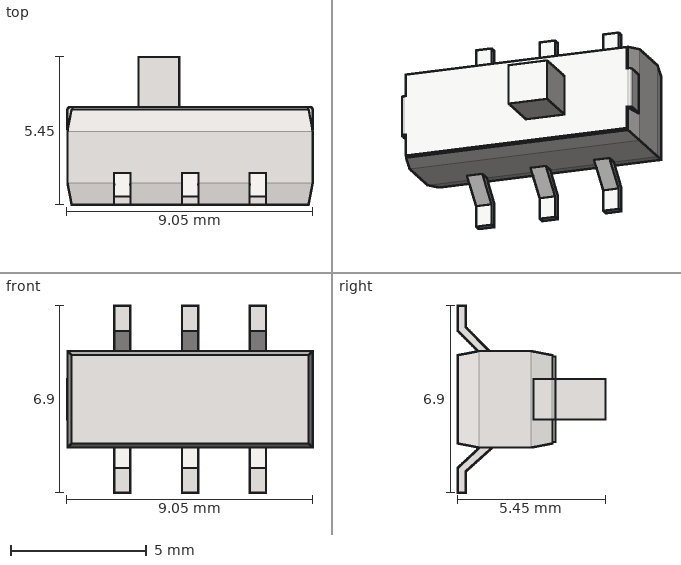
import cadquery as cq

overall_length = 9.05

body_length = 9.04
body_height = 3.57
body_depth = 3.5
taper_depth = 0.8
taper_inset = 0.15

cover_thickness = 0.11
cover_length = 8.67
cover_height = 3.16
cover_rear = body_depth + cover_thickness
tab_height = 1.5
tab_front = 2.79
tab_bend_radius = 0.13

actuator_width = 1.51
actuator_height = 1.5
actuator_center_x = -1.15
actuator_rear = 5.45

leg_width = 0.61
leg_thickness = 0.31
leg_pitch = 2.5
leg_tip_z = 3.45
leg_inner_bend_z = 2.65
leg_outer_bend_z = 2.525
upper_leg_root = (0.74, 1.17)
lower_leg_root = (0.8, 1.28)
leg_embed = 0.18


def box_between(x_center, width, y_front, y_rear, height):
    """Box centred on Z = 0 that spans y_front to y_rear."""
    depth = y_rear - y_front
    return cq.Workplane("XY").box(width, depth, height).translate((x_center, y_front + depth / 2, 0))


def tapered_end(y_large, y_small):
    """Frustum from the full housing section to the inset end section."""
    return (
        cq.Workplane("XZ", origin=(0, y_large, 0))
        .rect(body_length, body_height)
        .workplane(offset=y_large - y_small)
        .rect(body_length - 2 * taper_inset, body_height - 2 * taper_inset)
        .loft(ruled=True)
    )


def housing():
    rear_taper = body_depth - taper_depth
    middle = box_between(0, body_length, taper_depth, rear_taper, body_height)
    return middle.union(tapered_end(taper_depth, 0)).union(tapered_end(rear_taper, body_depth))


def cover():
    plate = box_between(0, cover_length, body_depth, cover_rear, cover_height)
    tabs = box_between(0, overall_length, tab_front, cover_rear, tab_height)
    tabs = tabs.edges("|Z and >Y").fillet(tab_bend_radius)
    return plate.union(tabs)


def leg(x_center, side, root):
    """Bent leg; side is +1 above the housing and -1 below it."""
    root_front, root_rear = root
    body_half = body_height / 2
    root_z = body_half - leg_embed
    front_slope = root_front / (leg_outer_bend_z - body_half)
    rear_slope = (root_rear - leg_thickness) / (leg_inner_bend_z - body_half)
    profile = [
        (0, leg_tip_z),
        (0, leg_outer_bend_z),
        (root_front + leg_embed * front_slope, root_z),
        (root_rear + leg_embed * rear_slope, root_z),
        (leg_thickness, leg_inner_bend_z),
        (leg_thickness, leg_tip_z),
    ]
    return (
        cq.Workplane("YZ", origin=(x_center, 0, 0))
        .polyline([(y, side * z) for y, z in profile])
        .close()
        .extrude(leg_width / 2, both=True)
    )


result = housing().union(cover())
result = result.union(
    box_between(actuator_center_x, actuator_width, body_depth, actuator_rear, actuator_height)
)
for x_center in (-leg_pitch, 0, leg_pitch):
    result = result.union(leg(x_center, 1, upper_leg_root))
    result = result.union(leg(x_center, -1, lower_leg_root))